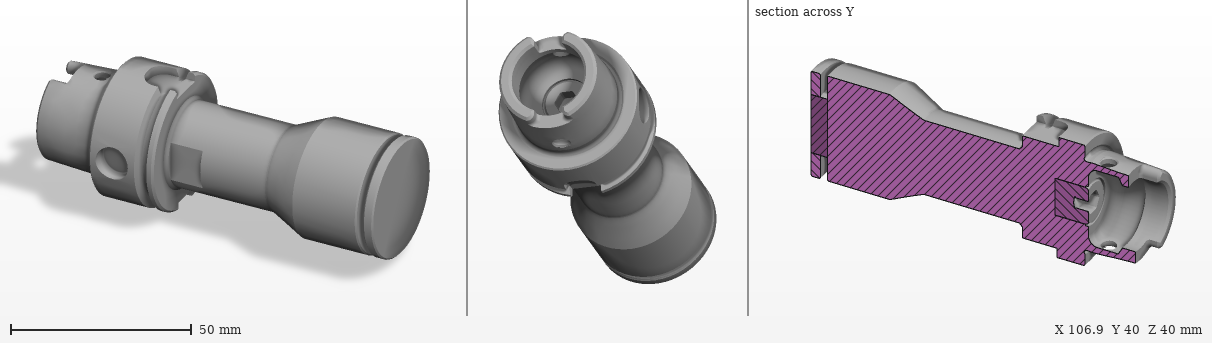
import cadquery as cq
import math

TOTAL_LENGTH = 106.9

FACE_X = 19.8
TAPER_END_X = 17.7
TAPER_END_RADIUS = 15.0
TAPER_RATIO = 1 / 20
RELIEF_RADIUS = 14.9
RELIEF_X = 18.7
RELIEF_FILLET = 0.7
END_CHAMFER = 0.7
FACE_RECESS_RADIUS = 16.2
FACE_RECESS_DEPTH = 0.3
FACE_RECESS_CHAMFER = 0.5

MOUTH_RADIUS = 10.5
MOUTH_END_X = 8.0
CAVITY_RADIUS = 25.5 / 2
CAVITY_FLOOR_FILLET = 2.8
BORE_FLOOR_X = 18.7
SHOULDER_ANGLE = 60.0

KEY_WIDTH = 8.0
KEY_DEPTH_TOP = 6.0
KEY_DEPTH_BOTTOM = 3.7
KEY_FLOOR_FILLET = 1.0
KEY_EDGE_ROUND = 2.0
BEVEL_ANGLE = 45.0

CROSS_HOLE_X = 13.8
CROSS_HOLE_DIAMETER = 4.6
CROSS_HOLE_SINK_DIAMETER = 5.8

FLANGE_RADIUS = 20.0
FLANGE_END_X = 39.8
FLANGE_FRONT_CHAMFER = 0.4
FLANGE_BACK_CHAMFER = 0.6
GROOVE_X = 35.8
GROOVE_HALF_WIDTH = 1.9
GROOVE_RADIUS = 17.2
GROOVE_HALF_ANGLE = 22.0
GROOVE_FILLET = 0.48

NOTCH_START_X = 28.0
NOTCH_FLOOR = 16.8
NOTCH_WIDTH_TOP = 11.0
NOTCH_WIDTH_BOTTOM = 9.0
NOTCH_CORNER_RADIUS = 4.3
CHIP_HOLE_X = 26.9
CHIP_HOLE_DIAMETER = 10.0
CHIP_HOLE_DEPTH = 4.6
CHIP_HOLE_FLOOR_FILLET = 0.3

SHAFT_RADIUS = 12.5
SHAFT_ROOT_CHAMFER = 1.0
FLATS_WIDTH = 22.0
FLATS_END_X = 50.7
CONE_START_X = 71.1
CONE_FILLET = 1.1
HEAD_START_X = 81.9
HEAD_END_X = 101.8
HEAD_RADIUS = 35.0 / 2
HEAD_CHAMFER = 0.4

SPINDLE_RADIUS = 20.0 / 2
COLLAR_START_X = 103.8
COLLAR_CHAMFER = 0.4

SCREW_RADIUS = 13.0 / 2
SCREW_CHAMFER = 0.5
SCREW_LENGTH = 10.7
SCREW_SINK_RADIUS = 14.0 / 2
SCREW_SINK_DEPTH = 1.0
SOCKET_FLATS = 6.2
SOCKET_RADIUS = 6.8 / 2
SOCKET_DEPTH = 4.3
SOCKET_CONE_ANGLE = 30.0

CLEARANCE = 1.1
TOLERANCE = 0.1


def tan_deg(angle):
    return math.tan(math.radians(angle))


def turned(points):
    """Solid of revolution about X from (x, radius) points closed along the axis."""
    profile = [(points[0][0], 0), *points, (points[-1][0], 0)]
    return cq.Workplane("XY").polyline(profile).close().revolve(360, (0, 0), (1, 0))


def disc(start_x, end_x, radius):
    return turned([(start_x, radius), (end_x, radius)])


def ring_at(x, radius):
    """Selector for the circular edges about X at one position, up to the given radius."""
    reach = radius + TOLERANCE
    low = (x - TOLERANCE, -reach, -reach)
    high = (x + TOLERANCE, reach, reach)
    return cq.selectors.BoxSelector(low, high, boundingbox=True)


def block(x0, x1, width, z0, z1):
    """Box between two X and two Z positions, centred in Y."""
    return cq.Workplane("XY").box(x1 - x0, width, z1 - z0).translate(((x0 + x1) / 2, 0, (z0 + z1) / 2))


def taper_radius(x):
    return TAPER_END_RADIUS - (TAPER_END_X - x) * TAPER_RATIO


def make_taper():
    """Solid taper with its neck, reaching to the bottom of the recess in the flange face."""
    return turned([
        (0, taper_radius(0) - END_CHAMFER),
        (END_CHAMFER, taper_radius(END_CHAMFER)),
        (TAPER_END_X, TAPER_END_RADIUS),
        (RELIEF_X, RELIEF_RADIUS),
        (FACE_X + FACE_RECESS_DEPTH, RELIEF_RADIUS),
    ])


def make_flange():
    """Flange from the contact face to its back, with the recess around the taper neck."""
    inner_radius = FACE_RECESS_RADIUS - FACE_RECESS_CHAMFER
    flange = turned([
        (FACE_X + FACE_RECESS_DEPTH, inner_radius),
        (FACE_X, FACE_RECESS_RADIUS),
        (FACE_X, FLANGE_RADIUS - FLANGE_FRONT_CHAMFER),
        (FACE_X + FLANGE_FRONT_CHAMFER, FLANGE_RADIUS),
        (FLANGE_END_X - FLANGE_BACK_CHAMFER, FLANGE_RADIUS),
        (FLANGE_END_X, FLANGE_RADIUS - FLANGE_BACK_CHAMFER),
    ])
    return flange.cut(make_gripper_groove())


def make_gripper_groove():
    """Ring-shaped cutter with a V profile and rounded bottom corners."""
    slope = tan_deg(GROOVE_HALF_ANGLE)
    floor_half = GROOVE_HALF_WIDTH - (FLANGE_RADIUS - GROOVE_RADIUS) * slope
    mouth_half = GROOVE_HALF_WIDTH + CLEARANCE * slope
    mouth_radius = FLANGE_RADIUS + CLEARANCE
    corners = [
        (GROOVE_X - mouth_half, mouth_radius),
        (GROOVE_X - floor_half, GROOVE_RADIUS),
        (GROOVE_X + floor_half, GROOVE_RADIUS),
        (GROOVE_X + mouth_half, mouth_radius),
    ]
    profile = cq.Sketch().polygon([*corners, corners[0]]).vertices("<Y").fillet(GROOVE_FILLET)
    return cq.Workplane("XY").placeSketch(profile).revolve(360, (0, 0), (1, 0))


def make_shaft():
    """Shaft with two wrench flats, flaring by a cone into the cylindrical head."""
    root_x = FLANGE_END_X + SHAFT_ROOT_CHAMFER
    shaft = turned([
        (FLANGE_END_X, SHAFT_RADIUS + SHAFT_ROOT_CHAMFER),
        (root_x, SHAFT_RADIUS),
        (CONE_START_X, SHAFT_RADIUS),
        (HEAD_START_X, HEAD_RADIUS),
        (HEAD_END_X - HEAD_CHAMFER, HEAD_RADIUS),
        (HEAD_END_X, HEAD_RADIUS - HEAD_CHAMFER),
    ])
    shaft = shaft.edges(ring_at(CONE_START_X, SHAFT_RADIUS)).fillet(CONE_FILLET)
    for side in (-1, 1):
        flat = cq.Workplane("XY").box(FLATS_END_X - root_x, SHAFT_RADIUS, 2 * SHAFT_RADIUS)
        middle_y = side * (FLATS_WIDTH + SHAFT_RADIUS) / 2
        shaft = shaft.cut(flat.translate(((root_x + FLATS_END_X) / 2, middle_y, 0)))
    return shaft


def make_bore():
    """Clamping bore with its wider cavity, screw sink and screw hole, as one cutter."""
    shoulder = (CAVITY_RADIUS - MOUTH_RADIUS) / tan_deg(SHOULDER_ANGLE)
    cavity = turned([
        (0, MOUTH_RADIUS + END_CHAMFER),
        (END_CHAMFER, MOUTH_RADIUS),
        (MOUTH_END_X, MOUTH_RADIUS),
        (MOUTH_END_X + shoulder, CAVITY_RADIUS),
        (BORE_FLOOR_X, CAVITY_RADIUS),
    ])
    cavity = cavity.edges(ring_at(BORE_FLOOR_X, CAVITY_RADIUS)).fillet(CAVITY_FLOOR_FILLET)
    sink = disc(BORE_FLOOR_X, BORE_FLOOR_X + SCREW_SINK_DEPTH, SCREW_SINK_RADIUS)
    screw_hole = disc(BORE_FLOOR_X, BORE_FLOOR_X + SCREW_LENGTH, SCREW_RADIUS)
    return cavity.union(sink).union(screw_hole)


def make_key_slot(depth):
    """Cutter for the drive key on +Z: a slot with a filleted floor and rounded outer edges."""
    half = KEY_WIDTH / 2
    top = TAPER_END_RADIUS + CLEARANCE

    outer = taper_radius(depth)
    centre_y = half + KEY_EDGE_ROUND
    centre_z = math.sqrt((outer - KEY_EDGE_ROUND) ** 2 - centre_y ** 2)
    stretch = outer / (outer - KEY_EDGE_ROUND)
    end_y = centre_y * stretch
    end_z = centre_z * stretch
    middle_angle = (math.pi + math.atan2(centre_z, centre_y)) / 2
    middle_y = centre_y + KEY_EDGE_ROUND * math.cos(middle_angle)
    middle_z = centre_z + KEY_EDGE_ROUND * math.sin(middle_angle)
    outline = (
        cq.Sketch()
        .segment((half, 0), (half, centre_z))
        .arc((half, centre_z), (middle_y, middle_z), (end_y, end_z))
        .segment((end_y, end_z), (end_y, top))
        .segment((end_y, top), (-end_y, top))
        .segment((-end_y, top), (-end_y, end_z))
        .arc((-end_y, end_z), (-middle_y, middle_z), (-half, centre_z))
        .segment((-half, centre_z), (-half, 0))
        .close()
        .assemble()
    )
    slot = cq.Workplane("YZ").placeSketch(outline).extrude(depth)
    slot = slot.faces(">X").edges("not |Y").fillet(KEY_FLOOR_FILLET)
    bevel_start = cq.Workplane("YZ", origin=(END_CHAMFER, 0, 0))
    bevel = bevel_start.placeSketch(outline).extrude(-END_CHAMFER, taper=-BEVEL_ANGLE)
    return slot.union(bevel)


def make_cross_hole():
    """Cutter along Z through both taper walls, with a countersink on each side."""
    wall_radius = taper_radius(CROSS_HOLE_X)
    sink_depth = (CROSS_HOLE_SINK_DIAMETER - CROSS_HOLE_DIAMETER) / 2
    hole = cq.Workplane("XY").circle(CROSS_HOLE_DIAMETER / 2).extrude(2 * wall_radius, both=True)
    sink = (
        cq.Workplane("XY", origin=(0, 0, wall_radius - sink_depth))
        .circle(CROSS_HOLE_DIAMETER / 2)
        .workplane(offset=sink_depth)
        .circle(CROSS_HOLE_SINK_DIAMETER / 2)
        .loft()
    )
    return hole.union(sink).union(sink.mirror("XY")).translate((CROSS_HOLE_X, 0, 0))


def make_notch(width):
    """Cutter for a flange notch on +Z, open to the back of the flange."""
    notch = block(NOTCH_START_X, FLANGE_END_X + CLEARANCE, width, NOTCH_FLOOR, FLANGE_RADIUS + CLEARANCE)
    return notch.edges("|Z and <X").fillet(NOTCH_CORNER_RADIUS)


def make_chip_hole():
    """Cutter for the blind hole on the -Y side of the flange."""
    start = cq.Workplane("XZ", origin=(CHIP_HOLE_X, -FLANGE_RADIUS + CHIP_HOLE_DEPTH, 0))
    hole = start.circle(CHIP_HOLE_DIAMETER / 2).extrude(CHIP_HOLE_DEPTH + CLEARANCE)
    return hole.faces(">Y").edges().fillet(CHIP_HOLE_FLOOR_FILLET)


def make_holder():
    holder = make_taper().union(make_flange()).union(make_shaft())
    holder = holder.edges(ring_at(FACE_X + FACE_RECESS_DEPTH, RELIEF_RADIUS)).fillet(RELIEF_FILLET)
    holder = holder.cut(make_bore())
    holder = holder.cut(make_key_slot(KEY_DEPTH_TOP))
    holder = holder.cut(make_key_slot(KEY_DEPTH_BOTTOM).mirror("XY"))
    holder = holder.cut(make_cross_hole())
    holder = holder.cut(make_notch(NOTCH_WIDTH_TOP))
    holder = holder.cut(make_notch(NOTCH_WIDTH_BOTTOM).mirror("XY"))
    return holder.cut(make_chip_hole())


def make_screw():
    """Socket screw filling its hole, with a hexagon socket that ends in a drill cone."""
    screw = disc(BORE_FLOOR_X, BORE_FLOOR_X + SCREW_LENGTH, SCREW_RADIUS).faces("<X").chamfer(SCREW_CHAMFER)
    drilled = disc(BORE_FLOOR_X, BORE_FLOOR_X + SOCKET_DEPTH, SOCKET_RADIUS)
    socket = (
        cq.Workplane("YZ", origin=(BORE_FLOOR_X, 0, 0))
        .polygon(6, 2 * SOCKET_FLATS / math.sqrt(3))
        .extrude(SOCKET_DEPTH)
        .intersect(drilled)
    )
    cone = cq.Workplane(cq.Solid.makeCone(
        SOCKET_RADIUS,
        0,
        SOCKET_RADIUS * tan_deg(SOCKET_CONE_ANGLE),
        pnt=cq.Vector(BORE_FLOOR_X + SOCKET_DEPTH, 0, 0),
        dir=cq.Vector(1, 0, 0),
    ))
    return screw.cut(socket).cut(cone)


def make_spindle():
    return disc(HEAD_END_X, TOTAL_LENGTH, SPINDLE_RADIUS)


def make_collar():
    """Ring around the end of the spindle, chamfered on both outer edges."""
    collar = turned([
        (COLLAR_START_X, HEAD_RADIUS - COLLAR_CHAMFER),
        (COLLAR_START_X + COLLAR_CHAMFER, HEAD_RADIUS),
        (TOTAL_LENGTH - COLLAR_CHAMFER, HEAD_RADIUS),
        (TOTAL_LENGTH, HEAD_RADIUS - COLLAR_CHAMFER),
    ])
    return collar.cut(make_spindle())


holder = make_holder()
screw = make_screw()
spindle = make_spindle()
collar = make_collar()

result = cq.Compound.makeCompound([holder.val(), screw.val(), spindle.val(), collar.val()])